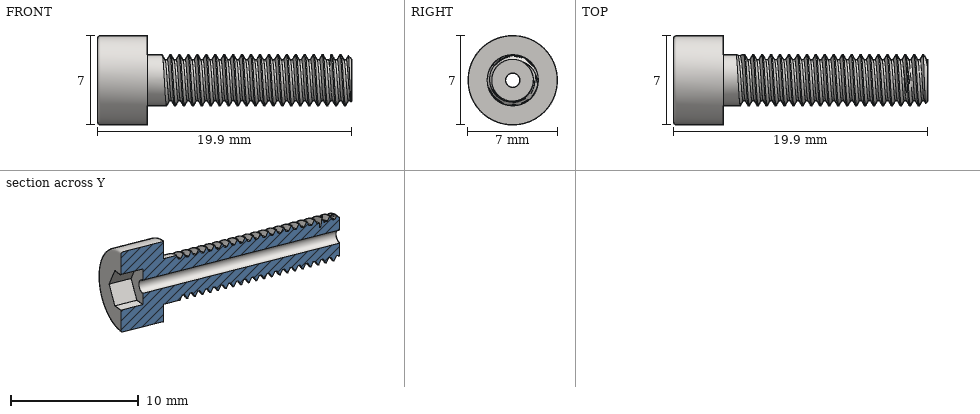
import cadquery as cq
import math


head_diameter = 7.0
head_height = 3.91
head_edge_radius = 0.25

socket_across_flats = 3.05
socket_depth = 2.0
bore_diameter = 1.1

shank_length = 16.0
thread_diameter = 4.0
thread_pitch = 0.7
thread_flank_angle = 30.0
tip_chamfer = 0.36
groove_start = 1.325
groove_start_angle = 22.0

thread_radius = thread_diameter / 2
crest_width = thread_pitch / 8
groove_root_width = thread_pitch / 4
flank_slope = math.tan(math.radians(thread_flank_angle))
thread_depth = (thread_pitch - crest_width - groove_root_width) / 2 / flank_slope
root_radius = thread_radius - thread_depth
blank_length = shank_length + 2 * thread_pitch
cut_overlap = 0.04


def make_blank():
    """Head and plain shank, turned as one profile and left overlong at the tip."""
    head_radius = head_diameter / 2
    arc_inset = head_edge_radius * (1 - math.sqrt(0.5))
    return (
        cq.Workplane("XY")
        .moveTo(-head_height, 0)
        .lineTo(-head_height, -head_radius + head_edge_radius)
        .threePointArc(
            (-head_height + arc_inset, -head_radius + arc_inset),
            (-head_height + head_edge_radius, -head_radius),
        )
        .lineTo(0, -head_radius)
        .lineTo(0, -thread_radius)
        .lineTo(blank_length, -thread_radius)
        .lineTo(blank_length, 0)
        .close()
        .revolve(360, (0, 0, 0), (1, 0, 0))
    )


def make_thread_groove():
    """Right-handed helical groove with a straight run-out, modelled about Z and then laid along X."""
    outer_radius = thread_radius + cut_overlap
    root_half = groove_root_width / 2
    outer_half = root_half + (outer_radius - root_radius) * flank_slope
    section = (
        cq.Workplane("XZ")
        .moveTo(root_radius, -root_half)
        .lineTo(outer_radius, -outer_half)
        .lineTo(outer_radius, outer_half)
        .lineTo(root_radius, root_half)
        .close()
    )

    groove_length = shank_length - groove_start + thread_pitch
    helix = cq.Wire.makeHelix(thread_pitch, groove_length, root_radius)
    helical_part = section.sweep(cq.Workplane(obj=helix), isFrenet=True)

    run_out_length = math.sqrt(outer_radius**2 - root_radius**2)
    run_out_drop = run_out_length * thread_pitch / (2 * math.pi * root_radius)
    run_out_path = cq.Vector(0, -run_out_length, -run_out_drop)
    run_out = cq.Solid.extrudeLinear(section.val(), [], run_out_path)

    return (
        helical_part.union(run_out)
        .rotate((0, 0, 0), (0, 0, 1), 90 + groove_start_angle)
        .rotate((0, 0, 0), (0, 1, 0), 90)
        .translate((groove_start, 0, 0))
    )


def make_tip_waste():
    """Everything beyond the tip, including the 45 degree chamfer around the tip."""
    outer_radius = thread_radius + cut_overlap
    waste_end = blank_length + cut_overlap
    return (
        cq.Workplane("XY")
        .moveTo(shank_length, 0)
        .lineTo(shank_length, -thread_radius + tip_chamfer)
        .lineTo(shank_length - tip_chamfer - cut_overlap, -outer_radius)
        .lineTo(waste_end, -outer_radius)
        .lineTo(waste_end, 0)
        .close()
        .revolve(360, (0, 0, 0), (1, 0, 0))
    )


def make_socket():
    """Hexagon socket with two flats facing up and down, sunk into the top of the head."""
    across_corners = socket_across_flats / math.cos(math.pi / 6)
    return (
        cq.Workplane("YZ", origin=(-head_height, 0, 0))
        .polygon(6, across_corners)
        .extrude(socket_depth)
    )


def make_bore():
    """Round bore along the axis, from the socket floor out through the tip."""
    return (
        cq.Workplane("YZ", origin=(-head_height, 0, 0))
        .circle(bore_diameter / 2)
        .extrude(head_height + blank_length)
    )


result = (
    make_blank()
    .cut(make_socket())
    .cut(make_bore())
    .cut(make_thread_groove())
    .cut(make_tip_waste())
)